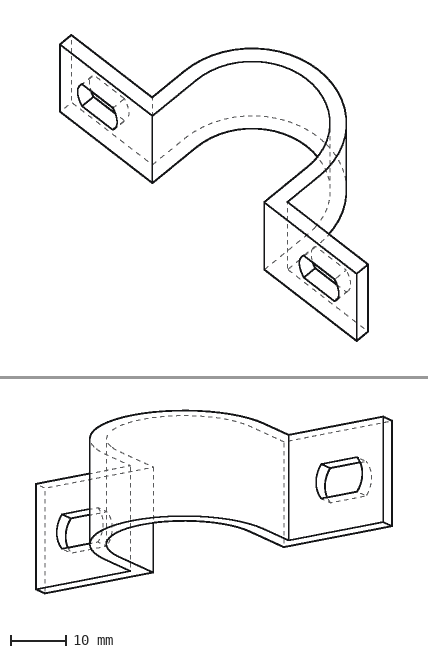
import cadquery as cq

length = 75.0
height = 28.5
width = 20.0
thickness = 3.0

outer_radius = 17.1
inner_radius = outer_radius - thickness
arc_center_y = height - outer_radius

slot_spacing = 56.0
slot_length = 10.0
slot_height = 6.5
slot_end_bulge = 1.1


def strap():
    """Saddle and two flat feet, extruded across the strap width."""
    half_length = length / 2
    return (
        cq.Workplane("XY")
        .moveTo(-half_length, 0)
        .lineTo(-inner_radius, 0)
        .lineTo(-inner_radius, arc_center_y)
        .threePointArc((0, arc_center_y + inner_radius), (inner_radius, arc_center_y))
        .lineTo(inner_radius, 0)
        .lineTo(half_length, 0)
        .lineTo(half_length, thickness)
        .lineTo(outer_radius, thickness)
        .lineTo(outer_radius, arc_center_y)
        .threePointArc((0, height), (-outer_radius, arc_center_y))
        .lineTo(-outer_radius, thickness)
        .lineTo(-half_length, thickness)
        .close()
        .extrude(width)
    )


def slot_cutter(center_x):
    """Slot with flat long sides and bulged ends, through one foot."""
    half_length = slot_length / 2
    half_flat = half_length - slot_end_bulge
    half_height = slot_height / 2
    return (
        cq.Workplane("XZ", origin=(center_x, 0, width / 2))
        .moveTo(-half_flat, -half_height)
        .lineTo(half_flat, -half_height)
        .threePointArc((half_length, 0), (half_flat, half_height))
        .lineTo(-half_flat, half_height)
        .threePointArc((-half_length, 0), (-half_flat, -half_height))
        .close()
        .extrude(-thickness)
    )


result = strap()
for side in (-1, 1):
    result = result.cut(slot_cutter(side * slot_spacing / 2))